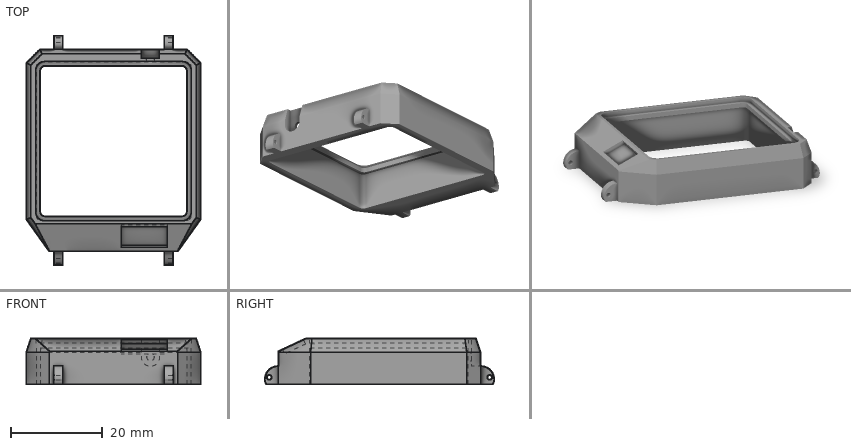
import cadquery as cq
import math

width = 38.0
body_length = 44.0
height = 10.0
wall_height = 7.0
bevel = 1.0
rear_corner = 3.0
front_corner_x = 5.0
front_corner_y = 7.0

slope_angle = 25.0
slope_run = 6.0

window_x = 31.9
window_y = 32.7
window_radius = 1.0
window_center_y = 2.0
seat_margin = 1.0
seat_depth = 1.0
lip_thickness = 1.0
cavity_margin = 0.9

recess_x = 10.0
recess_length = 5.0
recess_depth = 1.0
recess_center_x = 6.7
recess_upward_shift = 0.15

button_x = 8.0
button_z = 6.0
button_slot_width = 4.0
button_slot_depth = 2.0
button_hole_diameter = 1.65

lug_width = 2.0
lug_center_x = 12.0
lug_reach = 3.0
lug_nose_z = 1.0
lug_nose_radius = 1.5
pin_diameter = 1.0
pin_offset = 2.0
pin_z = 1.5

half_x = width / 2
half_y = body_length / 2


def body_outline(inset):
    """Plan outline with every edge but the front one moved inward by inset."""
    side = half_x - inset
    rear = half_y - inset
    rear_cut = rear_corner - inset * (2 - math.sqrt(2))
    cut_length = math.hypot(front_corner_x, front_corner_y)
    front_x = half_x - front_corner_x - inset * cut_length / front_corner_y
    cut_shift = inset * (cut_length - front_corner_y) / front_corner_x
    front_y = -half_y + front_corner_y + cut_shift
    right_half = [
        (front_x, -half_y),
        (side, front_y),
        (side, rear - rear_cut),
        (side - rear_cut, rear),
    ]
    return right_half + [(-x, y) for x, y in reversed(right_half)]


def make_body():
    base = cq.Workplane("XY").polyline(body_outline(0)).close().extrude(wall_height)
    crown = (
        cq.Workplane("XY", origin=(0, 0, wall_height))
        .polyline(body_outline(0)).close()
        .workplane(offset=height - wall_height)
        .polyline(body_outline(bevel)).close()
        .loft(ruled=True)
    )
    slope_drop = slope_run * math.tan(math.radians(slope_angle))
    front_wedge = (
        cq.Workplane("YZ")
        .polyline([
            (-half_y, height - slope_drop),
            (slope_run - half_y, height),
            (-half_y, height),
        ])
        .close()
        .extrude(half_x, both=True)
    )
    return base.union(crown).cut(front_wedge)


def rounded_block(size_x, size_y, radius, bottom, top):
    return (
        cq.Workplane("XY", origin=(0, window_center_y, bottom))
        .rect(size_x, size_y)
        .extrude(top - bottom)
        .edges("|Z")
        .fillet(radius)
    )


def make_window():
    seat_z = height - seat_depth
    window = rounded_block(window_x, window_y, window_radius, 0, height)
    seat = rounded_block(
        window_x + 2 * seat_margin, window_y + 2 * seat_margin,
        window_radius + seat_margin, seat_z, height,
    )
    cavity = rounded_block(
        window_x + 2 * cavity_margin, window_y + 2 * cavity_margin,
        window_radius, 0, seat_z - lip_thickness,
    )
    return window.union(seat).union(cavity)


def make_panel_recess():
    slope = math.radians(slope_angle)
    center_y = slope_run / 2 - half_y
    center_z = height - slope_run / 2 * math.tan(slope)
    panel = cq.Plane(
        origin=(recess_center_x, center_y, center_z),
        xDir=(1, 0, 0),
        normal=(0, -math.sin(slope), math.cos(slope)),
    )
    outline = cq.Workplane(panel).center(0, recess_upward_shift).rect(recess_x, recess_length)
    return outline.extrude(-recess_depth)


def make_button_opening():
    """Round-bottomed slot open at the top, with a hole into the cavity."""
    back_face = cq.Workplane("XZ", origin=(button_x, half_y, button_z))
    round_bottom = back_face.circle(button_slot_width / 2).extrude(button_slot_depth)
    rise = height - button_z
    slot = back_face.center(0, rise / 2).rect(button_slot_width, rise).extrude(button_slot_depth)
    hole = (
        cq.Workplane("XZ", origin=(button_x, half_y, button_z))
        .circle(button_hole_diameter / 2)
        .extrude(half_y - window_center_y)
    )
    return round_bottom.union(slot).union(hole)


def make_lug(center_x, end):
    """Lug at the back (end = 1) or front (end = -1) of the body."""
    diagonal = math.sqrt(0.5)
    nose_center = lug_reach - lug_nose_radius
    foot = nose_center + math.sqrt(lug_nose_radius**2 - lug_nose_z**2)
    half_sweep = math.asin(lug_nose_z / lug_nose_radius) / 2
    nose_mid = (
        nose_center + lug_nose_radius * math.cos(half_sweep),
        lug_nose_z - lug_nose_radius * math.sin(half_sweep),
    )

    def place(reach, z):
        return (end * (half_y + reach), z)

    return (
        cq.Workplane("YZ", origin=(center_x - lug_width / 2, 0, 0))
        .moveTo(*place(0, 0))
        .lineTo(*place(foot, 0))
        .threePointArc(place(*nose_mid), place(lug_reach, lug_nose_z))
        .threePointArc(
            place(lug_reach * diagonal, lug_nose_z + lug_reach * diagonal),
            place(0, lug_nose_z + lug_reach),
        )
        .close()
        .moveTo(*place(pin_offset, pin_z))
        .circle(pin_diameter / 2)
        .extrude(lug_width)
    )


result = make_body().cut(make_window()).cut(make_panel_recess()).cut(make_button_opening())
for lug_x in (-lug_center_x, lug_center_x):
    for lug_end in (-1, 1):
        result = result.union(make_lug(lug_x, lug_end))